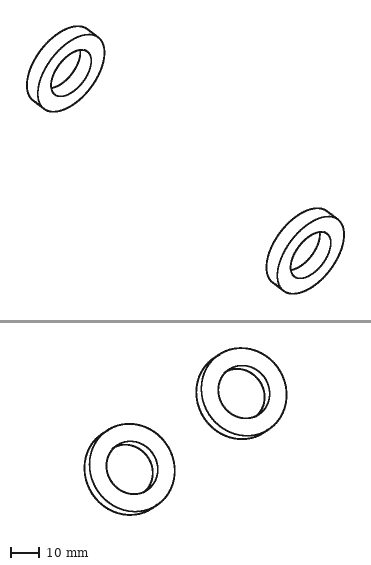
import cadquery as cq

overall_length = 132.1
outer_diameter = 31.7
bore_diameter = 19.0
ring_thickness = 5.8


def make_ring(start_x):
    """Plain flat ring whose -X face lies at start_x."""
    return (
        cq.Workplane("YZ", origin=(start_x, 0, 0))
        .circle(outer_diameter / 2)
        .circle(bore_diameter / 2)
        .extrude(ring_thickness)
    )


ring_starts = [-overall_length / 2, overall_length / 2 - ring_thickness]
rings = []
for start_x in ring_starts:
    rings.append(make_ring(start_x).val())

result = cq.Compound.makeCompound(rings)